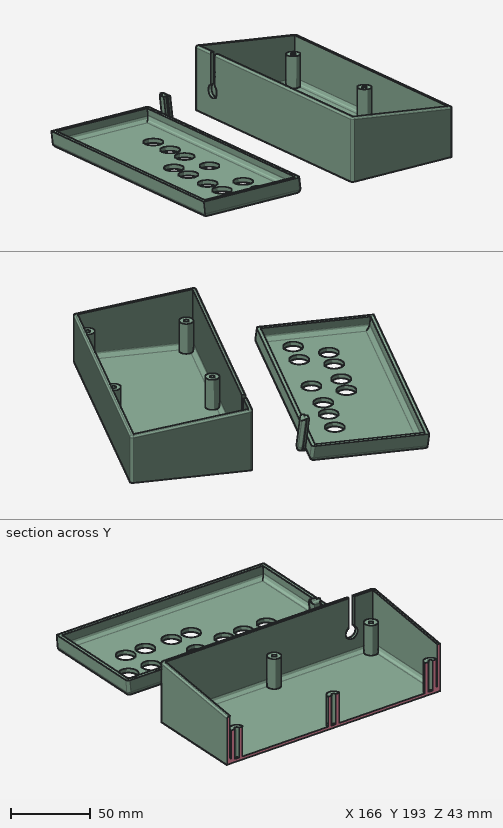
import cadquery as cq
import math

WALL = 2.5
FLOOR_FILLET = 3.0
CORNER_FILLET = 2.0
TOTAL_DEPTH = 193.0

HOUSING_WIDTH = 166.0
HOUSING_DEPTH = 79.0
FRONT_HEIGHT = 43.2
BACK_HEIGHT = 33.4
RIM_FILLET = 1.2
CAVITY_WIDTH = HOUSING_WIDTH - 2 * WALL
CAVITY_DEPTH = HOUSING_DEPTH - 2 * WALL
HOUSING_BACK = TOTAL_DEPTH
HOUSING_FRONT = HOUSING_BACK - HOUSING_DEPTH
SLOPE = math.atan((FRONT_HEIGHT - BACK_HEIGHT) / HOUSING_DEPTH)

BOSS_DIAMETER = 9.0
BOSS_HOLE_DIAMETER = 3.0
BOSS_TOP = 24.0
BOSS_INSET = 7.7

KEYHOLE_X = -64.0
KEYHOLE_Z = 17.8
KEYHOLE_DIAMETER = 9.0
SLOT_WIDTH = 4.5

LID_WIDTH = CAVITY_WIDTH
LID_DEPTH = 75.7
LID_HEIGHT = 11.2
LID_FLOOR = 3.0
LEAN_PER_HEIGHT = math.tan(SLOPE)
LID_LEAN = LID_HEIGHT * LEAN_PER_HEIGHT

BUTTON_DIAMETER = 12.5
BUTTON_ROWS = {
    35.1: (1.5, 16.8, 37.0, 52.3),
    52.9: (-44.2, -26.5, -11.2),
    55.4: (11.8, 47.3, 64.8),
}

TAB_LENGTH = 23.5
WEB_THICKNESS = 2.0
FLANGE_WIDTH = 8.0
FLANGE_THICKNESS = 2.9


def side_prism(points, width):
    """Extrude a (Y, Z) outline along X, centred on X = 0."""
    return cq.Workplane("YZ").polyline(points).close().extrude(width / 2, both=True)



def make_shell():
    """Rounded wedge block hollowed from above."""
    outline = [
        (HOUSING_FRONT, 0),
        (HOUSING_BACK, 0),
        (HOUSING_BACK, BACK_HEIGHT),
        (HOUSING_FRONT, FRONT_HEIGHT),
    ]
    block = side_prism(outline, HOUSING_WIDTH)
    block = block.edges("|Z").fillet(CORNER_FILLET)
    block = block.faces(">Z").edges().fillet(RIM_FILLET)

    cavity = (
        cq.Workplane("XY", origin=(0, HOUSING_FRONT + HOUSING_DEPTH / 2, WALL))
        .rect(CAVITY_WIDTH, CAVITY_DEPTH)
        .extrude(FRONT_HEIGHT)
        .faces("<Z").edges().fillet(FLOOR_FILLET)
    )
    return block.cut(cavity)


def boss_columns(diameter):
    """Cylinders at all six boss places, from the housing floor to the boss tops."""
    side_x = HOUSING_WIDTH / 2 - BOSS_INSET
    rows_y = (HOUSING_FRONT + BOSS_INSET, HOUSING_BACK - BOSS_INSET)
    centers = [(x, y) for x in (-side_x, 0, side_x) for y in rows_y]
    return (
        cq.Workplane("XY", origin=(0, 0, WALL))
        .pushPoints(centers)
        .circle(diameter / 2)
        .extrude(BOSS_TOP - WALL)
    )


def make_keyhole():
    """Cutter for a round hole with a slot from it up through the rim."""
    wall_plane = cq.Workplane("XZ", origin=(KEYHOLE_X, HOUSING_FRONT, KEYHOLE_Z))
    slot_length = FRONT_HEIGHT - KEYHOLE_Z
    round_end = wall_plane.circle(KEYHOLE_DIAMETER / 2).extrude(-WALL)
    slot = wall_plane.center(0, slot_length / 2).rect(SLOT_WIDTH, slot_length).extrude(-WALL)
    return round_end.union(slot)


def make_housing():
    shell_with_bosses = make_shell().union(boss_columns(BOSS_DIAMETER))
    return shell_with_bosses.cut(boss_columns(BOSS_HOLE_DIAMETER)).cut(make_keyhole())



def make_tray():
    """Shallow tray with leaning front and back walls."""
    outline = [
        (LID_LEAN, 0),
        (LID_DEPTH + LID_LEAN, 0),
        (LID_DEPTH, LID_HEIGHT),
        (0, LID_HEIGHT),
    ]
    tray = side_prism(outline, LID_WIDTH)
    tray = tray.faces(">Y").edges("not |X").fillet(CORNER_FILLET)
    tray = tray.faces("<Z").edges("<X or >X or <Y").fillet(FLOOR_FILLET)

    inner_front = WALL
    inner_back = LID_DEPTH - WALL
    floor_shift = (LID_HEIGHT - LID_FLOOR) * LEAN_PER_HEIGHT
    cavity_outline = [
        (inner_front + floor_shift, LID_FLOOR),
        (inner_back + floor_shift, LID_FLOOR),
        (inner_back, LID_HEIGHT),
        (inner_front, LID_HEIGHT),
    ]
    cavity = side_prism(cavity_outline, LID_WIDTH - 2 * WALL)
    cavity = cavity.faces("<Z").edges().fillet(FLOOR_FILLET)
    return tray.cut(cavity)


def make_button_holes():
    centers = [(x, y) for y, row in BUTTON_ROWS.items() for x in row]
    return cq.Workplane("XY").pushPoints(centers).circle(BUTTON_DIAMETER / 2).extrude(LID_FLOOR)


def tab_plate(width, thickness):
    """Upright plate with a half-round lower end; its inner face lies at Y = 0."""
    radius = width / 2
    return (
        cq.Workplane("XZ")
        .moveTo(-radius, radius)
        .threePointArc((0, 0), (radius, radius))
        .lineTo(radius, TAB_LENGTH)
        .lineTo(-radius, TAB_LENGTH)
        .close()
        .extrude(-thickness)
    )


def make_tab():
    """T-shaped tab that leans like the back wall of the lid."""
    web = tab_plate(SLOT_WIDTH, WEB_THICKNESS)
    flange = tab_plate(FLANGE_WIDTH, FLANGE_THICKNESS)
    flange = flange.faces(">Y").edges().fillet(CORNER_FILLET)
    tab = web.union(flange.translate((0, WEB_THICKNESS, 0)))
    tab = tab.rotate((0, 0, 0), (1, 0, 0), math.degrees(SLOPE))
    return tab.translate((KEYHOLE_X, LID_DEPTH + LID_LEAN, 0))


def make_lid():
    return make_tray().cut(make_button_holes()).union(make_tab())


housing = make_housing()
lid = make_lid()
result = cq.Compound.makeCompound([housing.val(), lid.val()])